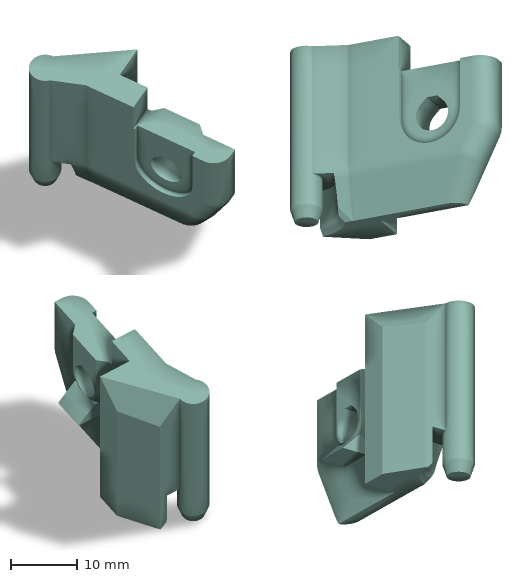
import cadquery as cq
import math

height = 28.0
depth = 12.35
rod_diameter = 4.9
rod_radius = rod_diameter / 2
length = 32.95
right_x = length - rod_radius

front_y = 0.2
back_y = 4.45
step_x = 15.25
step_z = 22.47
bevel_bottom_x = 25.1
bevel_corner_z = 11.0
edge_radius = 3.03

ramp_start_x = 1.32
ramp_start_y = -1.85
ramp_end_x = 6.95
slope_top_z = 7.0
slope_depth = 2.35
cut_margin = 0.33

wedge_right_x = 10.45
wedge_back_y = depth - rod_radius
wedge_left_y = 6.1
wedge_corner_x = 5.9
top_slope_drop = 1.4

tip_radius = 1.8
tip_height = 1.95
clearance_radius = 4.85
clearance_top_z = 7.02
flare_height = 1.0
flare_blend = 0.82
relief_y = 2.5
relief_run = 1.7
relief_height = 2.65

hole_x = 20.45
hole_z = 14.5
hole_radius = 2.67
hole_top = 2.9
recess_radius = 5.0
recess_depth = 0.82
pad_half_width = 4.5
pad_height = 1.42
pad_rim = 0.003
lug_width = 5.5
lug_depth = 2.95


def make_plate():
    """Plate and ramp, with the sloped underside and rounded front edges."""
    footprint = (
        cq.Workplane("XY")
        .polyline([
            (0, 0), (ramp_start_x, ramp_start_y), (ramp_end_x, front_y),
            (right_x, front_y), (right_x, back_y), (0, back_y),
        ])
        .close()
        .extrude(height)
    )
    outline = (
        cq.Workplane("XZ", origin=(0, wedge_back_y, 0))
        .polyline([
            (0, 0), (bevel_bottom_x, 0), (right_x, bevel_corner_z), (right_x, step_z),
            (step_x, step_z), (step_x, height), (0, height),
        ])
        .close()
        .extrude(2 * wedge_back_y)
    )
    plate = footprint.intersect(outline)
    ramp_angle = math.degrees(math.atan2(front_y - ramp_start_y, ramp_end_x - ramp_start_x))
    plate = plate.cut(slope_cut(0).intersect(slope_cut(ramp_angle)))
    lower_front = cq.selectors.BoxSelector(
        (ramp_start_x + cut_margin, ramp_start_y, cut_margin),
        (right_x + cut_margin, back_y - cut_margin, step_z - cut_margin),
    )
    inner_corner = cq.selectors.BoxSelector(
        (ramp_end_x - cut_margin, 0, 0), (ramp_end_x + cut_margin, back_y, height)
    )
    return plate.edges(lower_front - inner_corner).fillet(edge_radius)


def slope_cut(angle):
    """Wedge below a front face that passes through the ramp end at an angle to X."""
    return (
        cq.Workplane("YZ", origin=(-length, 0, 0))
        .polyline([
            (-length, slope_top_z), (0, slope_top_z), (slope_depth, 0),
            (slope_depth, -cut_margin), (-length, -cut_margin),
        ])
        .close()
        .extrude(2 * length)
        .rotate((0, 0, 0), (0, 0, 1), angle)
        .translate((ramp_end_x, front_y, 0))
    )


def make_wedge():
    """Wedge between the rod, the plate and the back of the part."""
    return (
        cq.Workplane("XY")
        .polyline([
            (0, 0), (wedge_right_x, back_y), (wedge_right_x, wedge_back_y),
            (wedge_corner_x, wedge_back_y), (0, wedge_left_y),
        ])
        .close()
        .extrude(height)
    )


def make_top_slice():
    """Steep cut behind the line from the rod to the wedge's back right corner."""
    edge_direction = cq.Vector(wedge_right_x, wedge_back_y - rod_radius, 0)
    outward = cq.Vector(-edge_direction.y, edge_direction.x, 0)
    slice_plane = cq.Plane(origin=(0, rod_radius, height), xDir=outward, normal=edge_direction)
    return (
        cq.Workplane(slice_plane)
        .polyline([(0, 0), (length, 0), (length, -top_slope_drop * length)])
        .close()
        .extrude(length, both=True)
    )


def make_clearance():
    """Space around the rod's lower end, flaring out at the bottom."""
    clearance = (
        cq.Workplane("XZ")
        .polyline([
            (0, 0), (clearance_radius + flare_height, 0), (clearance_radius, flare_height),
            (clearance_radius, clearance_top_z), (0, clearance_top_z),
        ])
        .close()
        .revolve(360, (0, 0, 0), (0, 1, 0))
    )
    flare_edge = cq.selectors.BoxSelector(
        (-length, -length, flare_height - cut_margin), (length, length, flare_height + cut_margin)
    )
    return clearance.edges(flare_edge).fillet(flare_blend)


def make_relief():
    """Sloping cut that trims the sharp corner between the flare and the ramp's underside."""
    return (
        cq.Workplane("YZ")
        .polyline([
            (0, 0), (relief_y, 0), (relief_y - relief_run, relief_height), (0, relief_height),
        ])
        .close()
        .extrude(ramp_end_x)
    )


def make_rod():
    """Hinge rod with a tapered tip."""
    return (
        cq.Workplane("XZ")
        .polyline([
            (0, 0), (tip_radius, 0), (rod_radius, tip_height), (rod_radius, height), (0, height),
        ])
        .close()
        .revolve(360, (0, 0, 0), (0, 1, 0))
    )


def u_shape(radius, y):
    """Outline around the hole with a round bottom, open at the plate's top edge."""
    rise = step_z - hole_z
    return (
        cq.Workplane("XZ", origin=(hole_x, y, hole_z))
        .moveTo(-radius, rise)
        .lineTo(-radius, 0)
        .threePointArc((0, -radius), (radius, 0))
        .lineTo(radius, rise)
        .close()
    )


def make_pad():
    """Pad on the back of the plate, flush with its top edge and bevelled at 45 degrees."""
    straight_pad = u_shape(pad_half_width, back_y).extrude(-pad_height)
    bevelled_edges = straight_pad.faces(">Y").edges("not(>Z)")
    return bevelled_edges.chamfer(pad_height - pad_rim)


def make_lug():
    """Sloping lug below the hole, on the back of the pad."""
    lug_y = back_y + pad_height
    lug_top = hole_z - hole_radius
    return (
        cq.Workplane("YZ", origin=(hole_x, 0, 0))
        .polyline([
            (back_y, lug_top), (lug_y, lug_top),
            (lug_y + lug_depth, lug_top - lug_depth), (back_y, lug_top - lug_depth),
        ])
        .close()
        .extrude(lug_width / 2, both=True)
    )


def make_hole():
    """Through hole with a flat-topped teardrop roof at 45 degrees."""
    tangent = hole_radius * math.sqrt(0.5)
    roof_half_width = hole_radius * math.sqrt(2) - hole_top
    return (
        cq.Workplane("XZ", origin=(hole_x, -length, hole_z))
        .moveTo(-roof_half_width, hole_top)
        .lineTo(-tangent, tangent)
        .threePointArc((0, -hole_radius), (tangent, tangent))
        .lineTo(roof_half_width, hole_top)
        .close()
        .extrude(-2 * length)
    )


body = make_plate().union(make_wedge()).cut(make_top_slice())
body = body.cut(make_clearance()).cut(make_relief()).union(make_rod())
body = body.union(make_pad()).union(make_lug())
recess = u_shape(recess_radius, front_y).extrude(-recess_depth)
result = body.cut(recess).cut(make_hole())